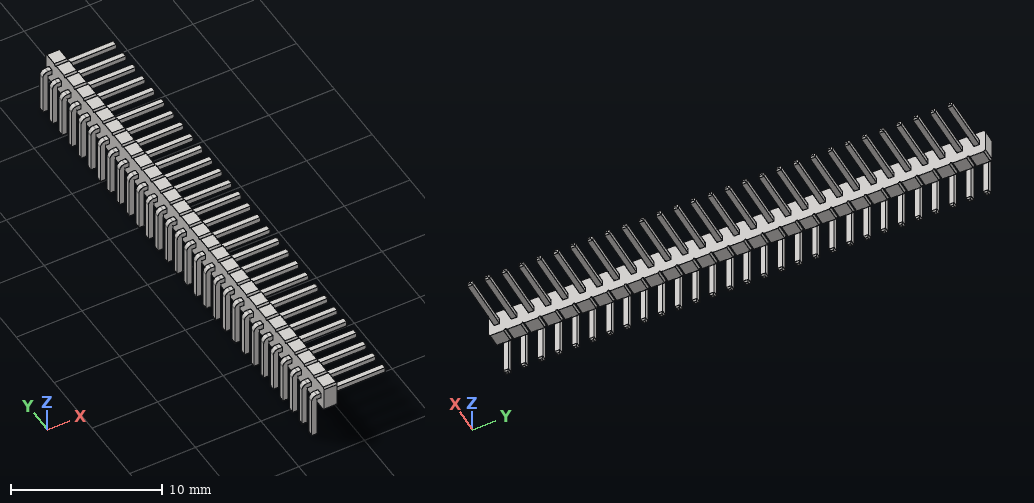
import cadquery as cq
import math


PIN_COUNT = 29
ROW_LENGTH = 36.83
PITCH = ROW_LENGTH / PIN_COUNT
HOUSING_DEPTH = 1.0
HOUSING_HEIGHT = 2.05
CELL_CHAMFER = 0.13

PIN_WIDTH = 0.4
PIN_TIP_CHAMFER = 0.1
BEND_RADIUS = PIN_WIDTH
OVERALL_DEPTH = 5.7
OVERALL_HEIGHT = 4.5
BACK_OVERHANG = 0.7

PIN_BACK_X = -HOUSING_DEPTH / 2 - BACK_OVERHANG
PIN_FRONT_X = PIN_BACK_X + OVERALL_DEPTH
PIN_TOP_Z = PIN_WIDTH / 2
PIN_BOTTOM_Z = HOUSING_HEIGHT / 2 - OVERALL_HEIGHT


def pin_y(index):
    """Y position of a cell and its pin, counted from the -Y end."""
    return (index + 0.5) * PITCH - ROW_LENGTH / 2


def make_housing():
    """One bar of chamfered cells, leaving V-notches between neighbours."""
    half_flat = PITCH / 2 - CELL_CHAMFER
    top = HOUSING_HEIGHT / 2
    shoulder = top - CELL_CHAMFER
    upper_edge = [(-ROW_LENGTH / 2, shoulder)]
    for index in range(PIN_COUNT):
        y = pin_y(index)
        upper_edge += [(y - half_flat, top), (y + half_flat, top), (y + PITCH / 2, shoulder)]
    lower_edge = [(y, -z) for y, z in reversed(upper_edge)]
    return (
        cq.Workplane("YZ")
        .polyline(upper_edge + lower_edge)
        .close()
        .extrude(HOUSING_DEPTH / 2, both=True)
    )


def make_pin():
    """An L-shaped square pin centred on Y = 0, with chamfered tips."""
    bend_offset = BEND_RADIUS * (1 - math.cos(math.pi / 4))
    pin = (
        cq.Workplane("XZ")
        .moveTo(PIN_FRONT_X, PIN_TOP_Z)
        .lineTo(PIN_BACK_X + BEND_RADIUS, PIN_TOP_Z)
        .threePointArc(
            (PIN_BACK_X + bend_offset, PIN_TOP_Z - bend_offset),
            (PIN_BACK_X, PIN_TOP_Z - BEND_RADIUS),
        )
        .lineTo(PIN_BACK_X, PIN_BOTTOM_Z)
        .lineTo(PIN_BACK_X + PIN_WIDTH, PIN_BOTTOM_Z)
        .lineTo(PIN_BACK_X + PIN_WIDTH, PIN_TOP_Z - PIN_WIDTH)
        .lineTo(PIN_FRONT_X, PIN_TOP_Z - PIN_WIDTH)
        .close()
        .extrude(PIN_WIDTH / 2, both=True)
    )
    pin = pin.faces(">X").edges().chamfer(PIN_TIP_CHAMFER)
    return pin.faces("<Z").edges().chamfer(PIN_TIP_CHAMFER)


pin = make_pin()
pins = [pin.translate((0, pin_y(index), 0)).val() for index in range(PIN_COUNT)]
result = cq.Workplane(make_housing().val().fuse(*pins))